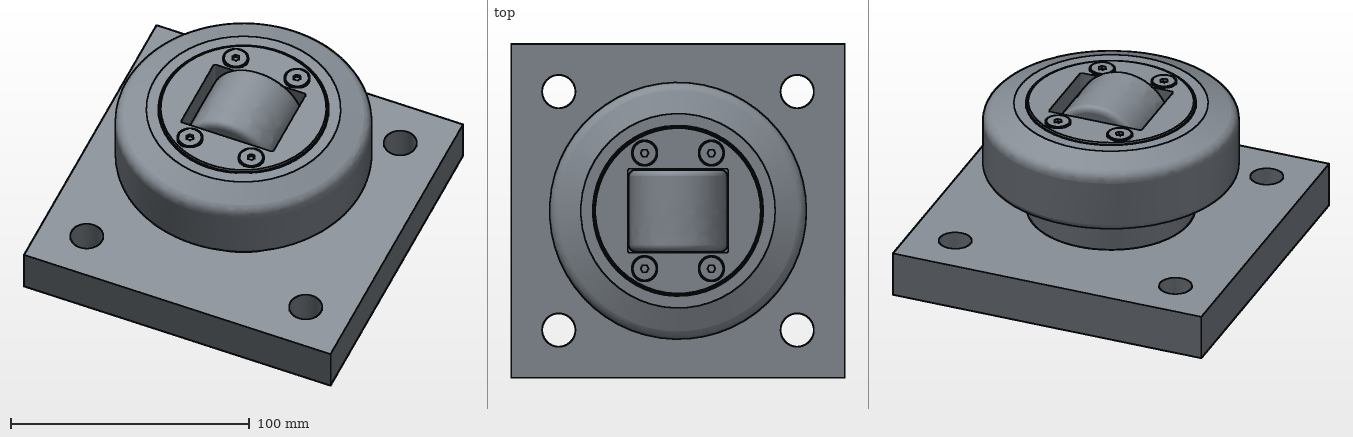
import cadquery as cq
import math

plate_side = 140.0
plate_thickness = 20.0
bolt_hole_diameter = 13.9
bolt_hole_spacing = 100.0

flange_diameter = 71.0
flange_top = 39.3
flange_base_chamfer = 0.4
neck_diameter = 69.3
cap_diameter = 70.5
cap_rim_diameter = 69.3
cap_bottom = 70.0
hub_top = 71.7

ring_diameter = 107.7
ring_crown = 0.07
ring_bore_diameter = 71.5
ring_bottom = 39.8
ring_top = 71.0
ring_land_diameter = 81.5
ring_cone_angle = 20.5
ring_shoulder_radius = 5.0
ring_bottom_radius = 3.0

roller_top = 77.5
roller_diameter = 41.5
roller_crown = 0.1
roller_length = 34.2
roller_edge_radius = 2.5
axle_diameter = 18.2

pocket_length = 42.1
pocket_width = 35.3
pocket_corner_radius = 1.0

screw_spacing_x = 28.0
screw_spacing_y = 48.5
screw_head_diameter = 9.8
screw_recess_diameter = 10.8
screw_recess_depth = 0.5
screw_top = 72.1
socket_sides = 6
socket_width = 3.0
socket_depth = 1.4

roller_axis_height = roller_top - roller_diameter / 2
pocket_floor = roller_axis_height - pocket_length / 2
socket_corner_diameter = socket_width / math.cos(math.pi / socket_sides)
cap_chamfer = (cap_diameter - cap_rim_diameter) / 2


def disc(diameter, bottom, top):
    """Upright cylinder on the Z axis between two heights."""
    return cq.Workplane("XY").workplane(offset=bottom).circle(diameter / 2).extrude(top - bottom)


def make_plate():
    plate = cq.Workplane("XY").box(plate_side, plate_side, plate_thickness, centered=(True, True, False))
    return (
        plate.faces(">Z")
        .workplane()
        .rect(bolt_hole_spacing, bolt_hole_spacing, forConstruction=True)
        .vertices()
        .hole(bolt_hole_diameter)
    )


def make_ring():
    crown_radius = ring_diameter / 2
    rim_radius = crown_radius - ring_crown
    bore_radius = ring_bore_diameter / 2
    land_radius = ring_land_diameter / 2
    cone_drop = (rim_radius - land_radius) * math.tan(math.radians(ring_cone_angle))
    shoulder_height = ring_top - cone_drop
    ring = (
        cq.Workplane("XZ")
        .moveTo(bore_radius, ring_bottom)
        .lineTo(rim_radius, ring_bottom)
        .threePointArc((crown_radius, (ring_bottom + shoulder_height) / 2), (rim_radius, shoulder_height))
        .lineTo(land_radius, ring_top)
        .lineTo(bore_radius, ring_top)
        .close()
        .revolve(360, (0, 0, 0), (0, 1, 0))
    )
    ring = ring.edges(cq.selectors.RadiusNthSelector(-2)).edges(">Z").fillet(ring_shoulder_radius)
    return ring.faces("<Z").edges(cq.selectors.RadiusNthSelector(-1)).fillet(ring_bottom_radius)


def make_roller():
    """Roller and axle, turned about Y and lifted to the axis height."""
    half_length = roller_length / 2
    crown_radius = roller_diameter / 2
    end_radius = crown_radius - roller_crown
    roller = (
        cq.Workplane("XY")
        .moveTo(0, -half_length)
        .lineTo(end_radius, -half_length)
        .threePointArc((crown_radius, 0), (end_radius, half_length))
        .lineTo(0, half_length)
        .close()
        .revolve(360, (0, 0, 0), (0, 1, 0))
    )
    roller = roller.faces("<Y or >Y").edges().fillet(roller_edge_radius)
    axle = cq.Workplane("XZ").circle(axle_diameter / 2).extrude(pocket_width / 2, both=True)
    return roller.union(axle).translate((0, 0, roller_axis_height))


def add_screw(hub, x, y):
    """Clearance recess, raised head and hexagonal socket at one place on the cap."""
    place = (x, y, 0)
    recess_floor = hub_top - screw_recess_depth
    recess = disc(screw_recess_diameter, recess_floor, hub_top)
    head = disc(screw_head_diameter, recess_floor, screw_top)
    socket = (
        cq.Workplane("XY")
        .workplane(offset=screw_top - socket_depth)
        .polygon(socket_sides, socket_corner_diameter)
        .extrude(socket_depth)
    )
    return hub.cut(recess.translate(place)).union(head.translate(place)).cut(socket.translate(place))


def make_hub():
    flange = disc(flange_diameter, plate_thickness, flange_top)
    flange = flange.faces("<Z").edges().chamfer(flange_base_chamfer)
    neck = disc(neck_diameter, flange_top, cap_bottom)
    cap = disc(cap_diameter, cap_bottom, hub_top).faces(">Z").edges().chamfer(cap_chamfer)
    pocket = (
        cq.Workplane("XY")
        .workplane(offset=pocket_floor)
        .rect(pocket_length, pocket_width)
        .extrude(hub_top - pocket_floor)
        .edges("|Z")
        .fillet(pocket_corner_radius)
    )
    hub = flange.union(neck).union(cap).cut(pocket).union(make_roller())
    for x in (-screw_spacing_x / 2, screw_spacing_x / 2):
        for y in (-screw_spacing_y / 2, screw_spacing_y / 2):
            hub = add_screw(hub, x, y)
    return hub


plate = make_plate()
hub = make_hub()
ring = make_ring()
result = cq.Compound.makeCompound([plate.val(), hub.val(), ring.val()])